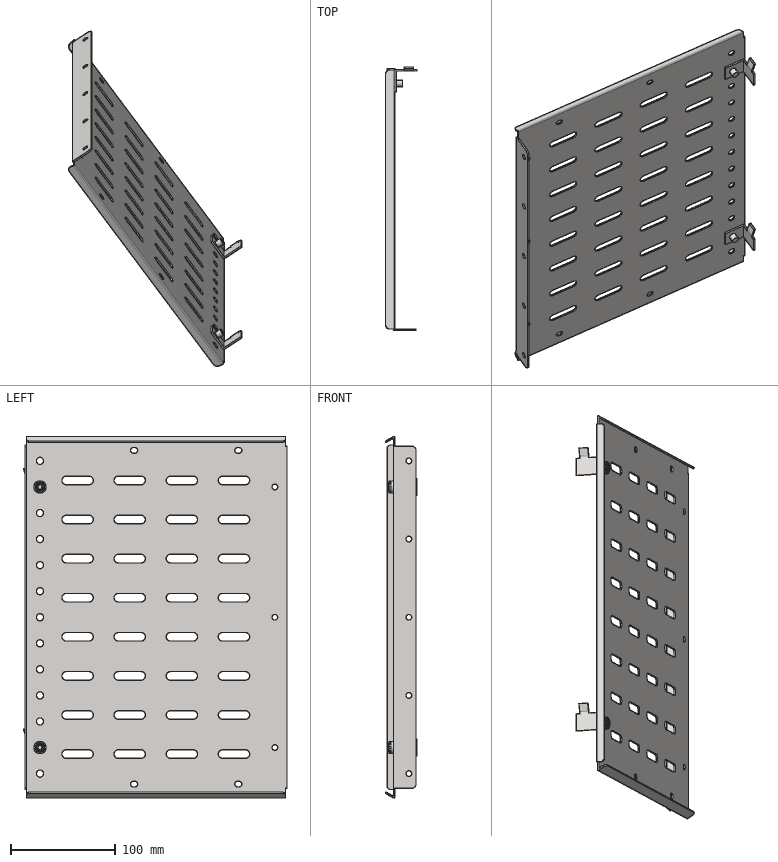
import cadquery as cq
import math


sheet = 1.55
plate_height = 347.3
panel_width = 251.8
front_flange_reach = 6.0
front_flange_height = 330.5
front_flange_chamfer = 2.0
rear_flange_reach = 22.0
rear_flange_height = 328.5
rear_flange_chamfer = 2.8

lip_reach = 7.5
lip_slope = math.radians(30)
bend_radius = 0.87
lip_corner_radius = 4.0
bend_cotangent = 1 / math.tan((math.pi / 2 - lip_slope) / 2)
ridge_z = plate_height / 2 + bend_radius * (bend_cotangent - 1)
plate_top_z = ridge_z - sheet * bend_cotangent

grid = 25.0
slot_length = 30.0
slot_width = 8.0
slot_rows = 8
slot_columns = 4
slot_row_pitch = 1.5 * grid
slot_column_pitch = 2 * grid
slot_pattern_y = 126.0
screw_line_y = 237.2
screw_hole_diameter = 6.5
screw_line_count = 13
edge_slot_length = 6.5
edge_slot_width = 5.2
edge_slot_y = 97.0
edge_slot_pitch_y = 4 * grid
edge_slot_z = 160.0
small_hole_diameter = 5.2
small_hole_y = 11.8
small_hole_count = 3
small_hole_pitch = 5 * grid
flange_hole_diameter = 5.2
flange_hole_x = 15.0
flange_hole_count = 5
flange_hole_pitch = 3 * grid

fastener_z = 5 * grid
bracket_sheet = 1.7
bracket_width = 16.5
bracket_end_x = 23.0
bracket_outer_y = 250.8
bracket_inner_y = 229.2
tab_x = 15.0
tab_width = 9.0
tab_bend_z = 10.0
tab_top_z = 17.7
tab_flare = 2.5

screw_end_x = 9.0
head_diameter = 11.8
head_thickness = 4.0
notch_count = 10
notch_width = 1.7
notch_depth = 2.0
collar_diameter = 8.5
collar_thickness = 1.0
recess_diameter = 6.3
recess_depth = 0.7
socket_size = 4.0
socket_depth = 2.8


def centred(count, pitch):
    """Positions of `count` items spaced by `pitch` about zero."""
    return [(i - (count - 1) / 2) * pitch for i in range(count)]


def box(x_range, y_range, z_range):
    """Box between the given limits."""
    size = [high - low for low, high in (x_range, y_range, z_range)]
    return cq.Workplane("XY").box(*size, centered=False).translate((x_range[0], y_range[0], z_range[0]))


def cylinder_x(diameter, x_range, y, z):
    """Cylinder along X between two X limits."""
    plane = cq.Plane(origin=(x_range[0], y, z), xDir=(0, 1, 0), normal=(1, 0, 0))
    return cq.Workplane(plane).circle(diameter / 2).extrude(x_range[1] - x_range[0])


def make_top_lip():
    """Rounded bend and sloping lip along the plate's top edge, with rounded free corners."""
    tip_z = ridge_z - (sheet + lip_reach) * math.tan(lip_slope)
    inner_tip = (-lip_reach + sheet * math.sin(lip_slope), tip_z - sheet * math.cos(lip_slope))
    lip = (
        cq.Workplane("XZ")
        .moveTo(sheet, plate_top_z)
        .lineTo(sheet, ridge_z)
        .lineTo(-lip_reach, tip_z)
        .lineTo(*inner_tip)
        .lineTo(0, plate_top_z)
        .close()
        .extrude(-(panel_width - 2 * sheet))
        .translate((0, sheet, 0))
    )
    lip = lip.edges("|Y and >Z").fillet(bend_radius)
    across_sheet = cq.Vector(math.sin(lip_slope), 0, -math.cos(lip_slope))
    free_corners = cq.selectors.ParallelDirSelector(across_sheet)
    return lip.faces("<X").edges(free_corners).fillet(lip_corner_radius)


def make_front_flange():
    """Flange along +Y that stands in front of the plate."""
    half = front_flange_height / 2
    flange = box((-front_flange_reach, sheet), (panel_width - sheet, panel_width), (-half, half))
    return flange.faces("<X").edges("|Y").chamfer(front_flange_chamfer)


def make_rear_flange():
    """Flange along -Y that stands behind the plate, with a row of holes."""
    half = rear_flange_height / 2
    flange = box((0, rear_flange_reach), (0, sheet), (-half, half))
    flange = flange.faces(">X").edges("|Y").chamfer(rear_flange_chamfer)
    holes = (
        cq.Workplane("XZ")
        .pushPoints([(flange_hole_x, z) for z in centred(flange_hole_count, flange_hole_pitch)])
        .circle(flange_hole_diameter / 2)
        .extrude(-sheet)
    )
    return flange.cut(holes)


def make_plate_openings():
    """Every hole and slot through the plate, as one set of cutters."""
    slots = [
        (slot_pattern_y + y, z)
        for y in centred(slot_columns, slot_column_pitch)
        for z in centred(slot_rows, slot_row_pitch)
    ]
    edge_slots = [
        (edge_slot_y + y, z)
        for y in centred(2, edge_slot_pitch_y)
        for z in (-edge_slot_z, edge_slot_z)
    ]
    screw_holes = [(screw_line_y, z) for z in centred(screw_line_count, grid)]
    small_holes = [(small_hole_y, z) for z in centred(small_hole_count, small_hole_pitch)]
    plane = cq.Workplane("YZ")
    return (
        plane.pushPoints(slots).slot2D(slot_length, slot_width).extrude(sheet)
        .add(plane.pushPoints(edge_slots).slot2D(edge_slot_length, edge_slot_width).extrude(sheet))
        .add(plane.pushPoints(screw_holes).circle(screw_hole_diameter / 2).extrude(sheet))
        .add(plane.pushPoints(small_holes).circle(small_hole_diameter / 2).extrude(sheet))
        .combine()
    )


def make_panel():
    """Plate with its flanges, lips and openings."""
    plate = box((0, sheet), (sheet, panel_width - sheet), (-plate_top_z, plate_top_z))
    top_lip = make_top_lip()
    bottom_lip = top_lip.mirror("XY")
    return (
        plate.union(top_lip)
        .union(bottom_lip)
        .union(make_front_flange())
        .union(make_rear_flange())
        .cut(make_plate_openings())
    )


def make_bracket(z):
    """Angle bracket behind the plate, with a tab whose tip flares outwards."""
    half = bracket_width / 2
    inner_face_y = bracket_outer_y - bracket_sheet
    base_x = (sheet, sheet + bracket_sheet)
    base = box(base_x, (bracket_inner_y, bracket_outer_y), (-half, half))
    base = base.cut(cylinder_x(screw_hole_diameter, base_x, screw_line_y, 0))
    side = box((sheet, bracket_end_x), (inner_face_y, bracket_outer_y), (-half, half))
    tab = (
        cq.Workplane("YZ")
        .moveTo(inner_face_y, half)
        .lineTo(inner_face_y, tab_bend_z)
        .lineTo(inner_face_y + tab_flare, tab_top_z)
        .lineTo(bracket_outer_y + tab_flare, tab_top_z)
        .lineTo(bracket_outer_y, tab_bend_z)
        .lineTo(bracket_outer_y, half)
        .close()
        .extrude(tab_width)
        .translate((tab_x - tab_width / 2, 0, 0))
    )
    return base.union(side).union(tab).translate((0, 0, z))


def make_screw(z):
    """Screw through plate and bracket, with a notched head, a recessed collar and a hexagon socket."""
    collar_end_x = -head_thickness - collar_thickness
    head = cylinder_x(head_diameter, (-head_thickness, 0), 0, 0)
    notch_reach = (head_diameter - collar_diameter) / 2
    notches = (
        cq.Workplane("YZ", origin=(-head_thickness, 0, 0))
        .polarArray((head_diameter + collar_diameter) / 4, 0, 360, notch_count)
        .rect(notch_reach, notch_width)
        .extrude(notch_depth)
    )
    collar = cylinder_x(collar_diameter, (collar_end_x, -head_thickness), 0, 0)
    shank = cylinder_x(screw_hole_diameter, (0, screw_end_x), 0, 0)
    recess = cylinder_x(recess_diameter, (collar_end_x, collar_end_x + recess_depth), 0, 0)
    socket = (
        cq.Workplane("YZ", origin=(collar_end_x, 0, 0))
        .polygon(6, socket_size)
        .extrude(socket_depth)
    )
    screw = head.cut(notches).union(collar).union(shank).cut(recess).cut(socket)
    return screw.translate((0, screw_line_y, z))


panel = make_panel()
brackets = [make_bracket(z).val() for z in (-fastener_z, fastener_z)]
screws = [make_screw(z).val() for z in (-fastener_z, fastener_z)]

result = cq.Compound.makeCompound([panel.val(), *brackets, *screws])